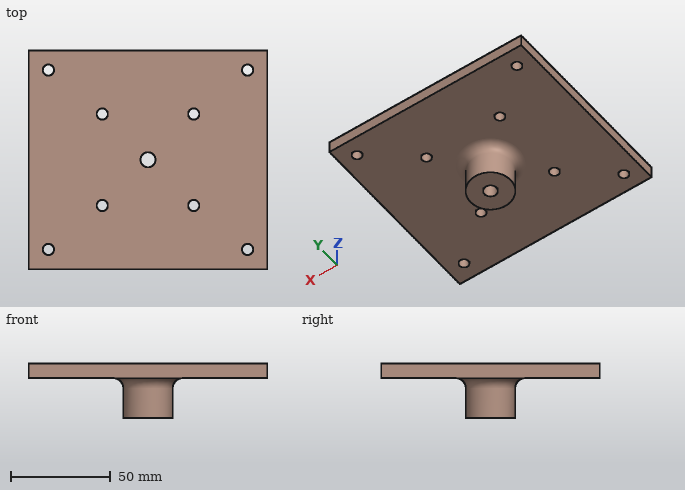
import cadquery as cq

plate_length = 120.0
plate_width = 110.0
plate_thickness = 7.5

total_height = 27.5
boss_diameter = 25.0
boss_height = total_height - plate_thickness
boss_fillet_radius = 5.0

center_hole_diameter = 7.5
bolt_hole_diameter = 5.5
corner_hole_inset = 10.0
inner_hole_spacing = 46.0
corner_spacing_x = plate_length - 2 * corner_hole_inset
corner_spacing_y = plate_width - 2 * corner_hole_inset

body = cq.Workplane("XY").box(plate_length, plate_width, plate_thickness, centered=(True, True, False))
boss = cq.Workplane("XY").circle(boss_diameter / 2).extrude(-boss_height)
body = body.union(boss)

body = body.faces("<Z[1]").edges("%CIRCLE").fillet(boss_fillet_radius)


def drill_rectangle(solid, spacing_x, spacing_y):
    """Drill a bolt hole through the plate at each corner of a centred rectangle."""
    return (
        solid.faces(">Z").workplane(origin=(0, 0, 0))
        .rect(spacing_x, spacing_y, forConstruction=True)
        .vertices()
        .hole(bolt_hole_diameter, plate_thickness)
    )


body = drill_rectangle(body, corner_spacing_x, corner_spacing_y)
body = drill_rectangle(body, inner_hole_spacing, inner_hole_spacing)

result = body.faces(">Z").workplane(origin=(0, 0, 0)).hole(center_hole_diameter)